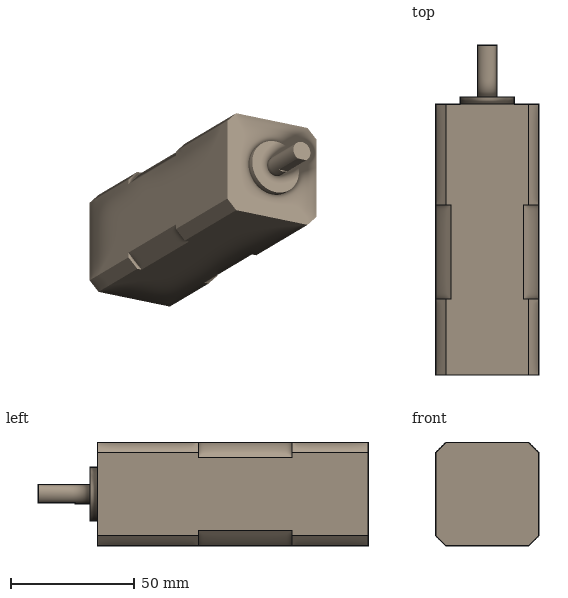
import cadquery as cq

body_width = 42.0
body_length = 110.0
end_chamfer = 4.2

waist_chamfer = 6.2
waist_front = 41.0
waist_length = 38.0

pilot_diameter = 22.0
pilot_height = 3.0
shaft_diameter = 8.0
shaft_length = 24.0
flat_length = 15.0
flat_depth = 0.5


def chamfered_bar(chamfer, front, length):
    """Square bar with chamfered long edges, running toward -Y from `front` behind the shaft face."""
    return (
        cq.Workplane("XZ", origin=(0, -front, 0))
        .rect(body_width, body_width)
        .extrude(length)
        .edges("|Y")
        .chamfer(chamfer)
    )


def round_boss(diameter, height):
    """Cylinder standing on the shaft face and pointing along +Y."""
    return cq.Workplane("XZ").circle(diameter / 2).extrude(-height)


def make_body():
    waist_back = waist_front + waist_length
    shaft_end = chamfered_bar(end_chamfer, 0, waist_front)
    waist = chamfered_bar(waist_chamfer, waist_front, waist_length)
    rear_end = chamfered_bar(end_chamfer, waist_back, body_length - waist_back)
    return shaft_end.union(waist).union(rear_end)


def make_shaft():
    flat_start = shaft_length - flat_length
    flat_cutter = (
        cq.Workplane("XY")
        .box(shaft_diameter, flat_length, flat_depth, centered=(True, False, False))
        .translate((0, flat_start, -shaft_diameter / 2))
    )
    return round_boss(shaft_diameter, shaft_length).cut(flat_cutter)


pilot = round_boss(pilot_diameter, pilot_height)
result = make_body().union(pilot).union(make_shaft())